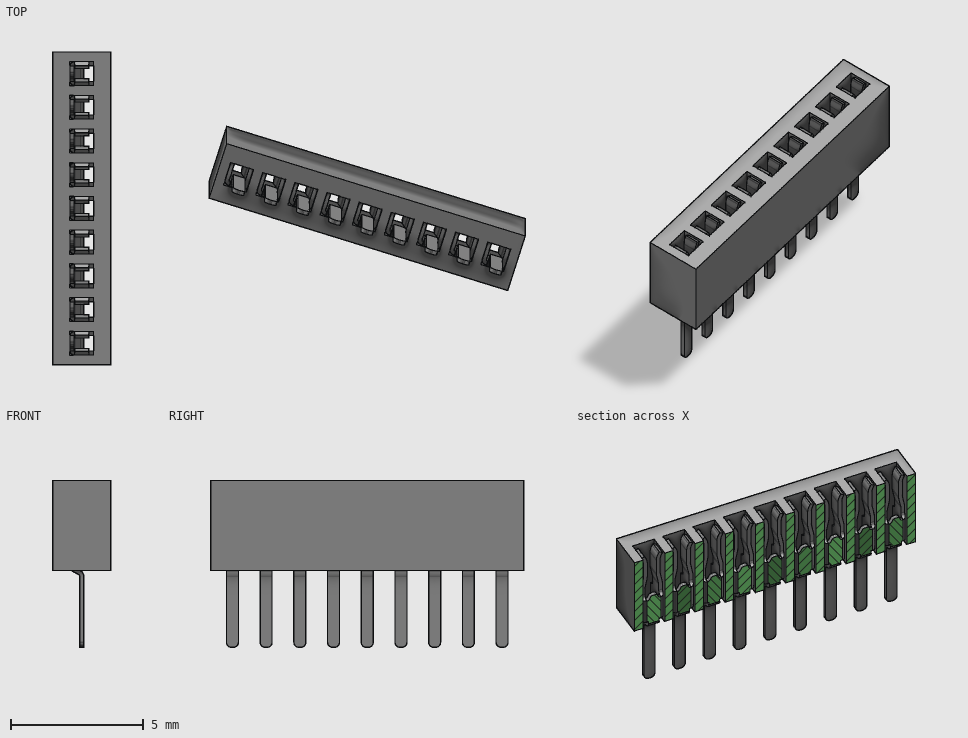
import cadquery as cq
import math

PIN_COUNT = 9
PITCH = 1.27
HOUSING_X = 2.2
HOUSING_Y = 11.8
HOUSING_Z = 3.4
CAVITY = 0.9

SHEET = 0.16
CHANNEL_BOTTOM = 0.25
SHOULDER_Z = 1.3
CORNER_RADIUS = 0.18
CAVITY_HALF = CAVITY / 2
PLATE_CENTER = CAVITY_HALF - SHEET / 2
PLATE_INNER = CAVITY_HALF - SHEET

ARM_WIDTH = 0.536
SHOULDER_RADIUS = CAVITY_HALF - ARM_WIDTH / 2
ARM_ROOT_Z = SHOULDER_Z + SHOULDER_RADIUS
JOG_START_Z = 1.8
JOG_END_Z = 2.3
ARM_TIP_Z = 3.37
CONTACT_INNER = 0.19
FLARE_ANGLE = 31
JOG_BEND_RADIUS = 0.3
CONTACT_BEND_RADIUS = 0.5

TAB_FLAT_HALF = 0.05
TAB_FOOT_HALF = PLATE_INNER
TAB_HEIGHT = 0.2

TAIL_WIDTH = 0.46
TAIL_LENGTH = 2.9
TAIL_TIP_RADIUS = 0.2
RAMP_ANGLE = 28
RAMP_END_Z = -0.125
TAIL_BEND_RADIUS = 0.15


def bent_strip(plane, path, radii, width):
    """Sheet strip of constant thickness along a centre path, with a rounded bend at each inner point."""
    headings = [math.atan2(b[1] - a[1], b[0] - a[0]) for a, b in zip(path, path[1:])]

    def shifted(point, angle, distance):
        return (point[0] + distance * math.cos(angle), point[1] + distance * math.sin(angle))

    def bends(side):
        """Start, middle and end of every bend arc on one face of the strip."""
        arcs = []
        for point, radius, before, after in zip(path[1:-1], radii, headings, headings[1:]):
            turn = after - before
            left = math.copysign(math.pi / 2, turn)
            start = shifted(point, before, -radius * math.tan(abs(turn) / 2))
            center = shifted(start, before + left, radius)
            face_radius = radius - side * math.copysign(1, turn)
            angles = [before - left, before - left + turn / 2, after - left]
            arcs.append([shifted(center, angle, face_radius) for angle in angles])
        return arcs

    half = SHEET / 2
    quarter = math.pi / 2
    outline = cq.Workplane(plane).moveTo(*shifted(path[0], headings[0] + quarter, half))
    for start, middle, end in bends(half):
        outline = outline.lineTo(*start).threePointArc(middle, end)
    outline = outline.lineTo(*shifted(path[-1], headings[-1] + quarter, half))
    outline = outline.lineTo(*shifted(path[-1], headings[-1] - quarter, half))
    for start, middle, end in reversed(bends(-half)):
        outline = outline.lineTo(*end).threePointArc(middle, start)
    outline = outline.lineTo(*shifted(path[0], headings[0] - quarter, half))
    return outline.close().extrude(width / 2, both=True)


def make_channel(top):
    """U-shaped channel, open toward +X, lining three walls of the cavity."""
    outer = (
        cq.Workplane("XY", origin=(0, 0, CHANNEL_BOTTOM))
        .rect(CAVITY, CAVITY)
        .extrude(top - CHANNEL_BOTTOM)
        .edges("|Z and <X")
        .fillet(CORNER_RADIUS)
    )
    inside = (
        cq.Workplane("XY", origin=(SHEET, 0, CHANNEL_BOTTOM))
        .rect(CAVITY, 2 * PLATE_INNER)
        .extrude(top - CHANNEL_BOTTOM)
        .edges("|Z and <X")
        .fillet(CORNER_RADIUS - SHEET)
    )
    return outer.cut(inside)


def make_shoulders():
    """Side walls narrowing to the arm width through a concave round on both edges."""
    arm_half = ARM_WIDTH / 2
    sagitta = SHOULDER_RADIUS * (1 - math.sqrt(0.5))
    silhouette = (
        cq.Workplane("XZ")
        .moveTo(-CAVITY_HALF, CHANNEL_BOTTOM)
        .lineTo(CAVITY_HALF, CHANNEL_BOTTOM)
        .lineTo(CAVITY_HALF, SHOULDER_Z)
        .threePointArc((arm_half + sagitta, SHOULDER_Z + sagitta), (arm_half, ARM_ROOT_Z))
        .lineTo(-arm_half, ARM_ROOT_Z)
        .threePointArc((-arm_half - sagitta, SHOULDER_Z + sagitta), (-CAVITY_HALF, SHOULDER_Z))
        .close()
        .extrude(CAVITY_HALF, both=True)
    )
    opening = cq.Workplane("XY").box(2 * CAVITY, 2 * PLATE_INNER, 2 * HOUSING_Z)
    return make_channel(ARM_ROOT_Z).intersect(silhouette).cut(opening)


def make_arm():
    """Spring arm on the +Y side: jogs inward to the contact point, then flares out as a lead-in."""
    contact_y = CONTACT_INNER + SHEET / 2
    flare = math.radians(FLARE_ANGLE)
    tip_y = CAVITY_HALF - SHEET / 2 * math.cos(flare)
    tip_z = ARM_TIP_Z - SHEET / 2 * math.sin(flare)
    path = [
        (PLATE_CENTER, SHOULDER_Z),
        (PLATE_CENTER, JOG_START_Z),
        (contact_y, JOG_END_Z),
        (contact_y, tip_z - (tip_y - contact_y) / math.tan(flare)),
        (tip_y, tip_z),
    ]
    return bent_strip("YZ", path, [JOG_BEND_RADIUS, JOG_BEND_RADIUS, CONTACT_BEND_RADIUS], ARM_WIDTH)


def make_tab():
    """Tab on the back plate with S-curved flanks and a narrow flat top."""
    top_z = SHOULDER_Z + TAB_HEIGHT
    return (
        cq.Workplane("YZ", origin=(-CAVITY_HALF, 0, 0))
        .moveTo(TAB_FLAT_HALF, top_z)
        .spline([(TAB_FOOT_HALF, SHOULDER_Z)], tangents=[(1, 0), (1, 0)], includeCurrent=True)
        .lineTo(-TAB_FOOT_HALF, SHOULDER_Z)
        .spline([(-TAB_FLAT_HALF, top_z)], tangents=[(1, 0), (1, 0)], includeCurrent=True)
        .close()
        .extrude(SHEET)
    )


def make_tail():
    """Strip running down the back plate, ramping to the cavity axis and ending as a round-tipped pin."""
    ramp_start_z = RAMP_END_Z + PLATE_CENTER * math.tan(math.radians(RAMP_ANGLE))
    path = [
        (-PLATE_CENTER, SHOULDER_Z),
        (-PLATE_CENTER, ramp_start_z),
        (0, RAMP_END_Z),
        (0, -TAIL_LENGTH),
    ]
    strip = bent_strip("XZ", path, [TAIL_BEND_RADIUS, TAIL_BEND_RADIUS], TAIL_WIDTH)
    return strip.faces("<Z").edges("|X").fillet(TAIL_TIP_RADIUS)


def make_contact():
    arm = make_arm()
    return (
        make_channel(SHOULDER_Z)
        .union(make_shoulders())
        .union(arm)
        .union(arm.mirror("XZ"))
        .union(make_tab())
        .union(make_tail())
    )


def make_housing(rows):
    block = cq.Workplane("XY").box(HOUSING_X, HOUSING_Y, HOUSING_Z, centered=(True, True, False))
    cavities = cq.Workplane("XY").pushPoints([(0, y) for y in rows]).rect(CAVITY, CAVITY).extrude(HOUSING_Z)
    return block.cut(cavities)


row_positions = [(i - (PIN_COUNT - 1) / 2) * PITCH for i in range(PIN_COUNT)]
housing = make_housing(row_positions)
contact = make_contact()
contacts = [contact.translate((0, y, 0)) for y in row_positions]

result = cq.Compound.makeCompound([housing.val(), *[c.val() for c in contacts]])